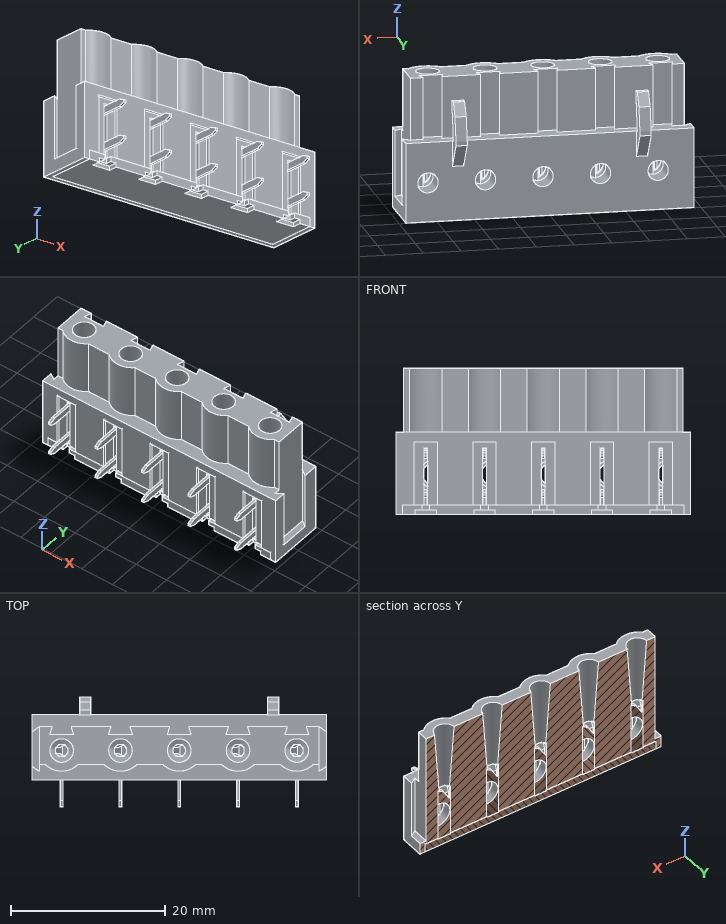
import cadquery as cq


POLES = 5
HOUSING_LENGTH = 38.2
END_TO_POLE = 3.85
PITCH = (HOUSING_LENGTH - 2 * END_TO_POLE) / (POLES - 1)
POLE_X = [(i - (POLES - 1) / 2) * PITCH for i in range(POLES)]

BASE_DEPTH = 8.5
BASE_HEIGHT = 10.7

TOTAL_HEIGHT = 19.0
TOWER_LENGTH = 36.3
TOWER_FRONT = 2.0
TOWER_BACK = 6.9
BULGE_FRONT = 1.15
BULGE_HALF_WIDTH = 2.1

GROOVE_DEPTH = 1.05
GROOVE_MOUTH_WIDTH = 2.5
GROOVE_FLOOR_WIDTH = 3.1

POCKET_FLOOR = 1.85
POCKET_MOUTH_FRONT = 1.75
POCKET_MOUTH_BACK = 6.23

HOLE_Y = 3.82
HOLE_TOP_DIAMETER = 3.05
HOLE_BOTTOM_DIAMETER = 1.6

LATCH_X = 12.2
LATCH_WIDTH = 1.5
LATCH_PROFILE = [
    (BASE_DEPTH, 7.3),
    (10.77, 10.62),
    (10.77, 11.15),
    (10.12, 14.32),
    (9.1, 16.1),
    (8.4, 16.1),
    (8.4, 14.4),
    (8.65, 14.05),
    (8.9, 10.95),
    (8.67, BASE_HEIGHT),
    (BASE_DEPTH, BASE_HEIGHT),
]

COVER_MARGIN = 0.85
COVER_LENGTH = HOUSING_LENGTH - 2 * COVER_MARGIN
COVER_DEPTH = BASE_DEPTH - COVER_MARGIN
COVER_THICKNESS = 1.25
NOTCH_DEPTH = 0.9
NOTCH_WIDTH = 1.0
WIDE_NOTCH_WIDTH = 2.75
WIDE_NOTCH_HEIGHT = 0.57
WIDE_NOTCH_DEPTH = WIDE_NOTCH_WIDTH / 2

WINDOW_WIDTH = 3.0
WINDOW_TOP = 9.4
WINDOW_DEPTH = 0.45
SLOT_WIDTH = 0.5
SLOT_TOP = 8.65

PIN_THICKNESS = 0.4
PIN_HEIGHT = 1.05
PIN_LENGTH = 3.48
PIN_TIP_LENGTH = 0.85
PIN_TIP_HEIGHT = 0.35
LOWER_PIN_Z = 2.7
UPPER_PIN_Z = 7.8
TAB_FRONT = 0.75
TAB_TOP = 8.48
CONTACT_WIDTH = 1.85
CONTACT_FRONT = 2.3
CONTACT_BACK = 5.35
CONTACT_TOP = 9.15
SOCKET_WIDTH = 1.6
SOCKET_GAP = 0.75
SOCKET_MOUTH = 1.53
SOCKET_LEAD_IN = 0.95
SOCKET_FLOOR = 7.25
SOCKET_LIP_X = 0.1
SOCKET_LIP_DEPTH = 0.4

CROSS_HOLE_OFFSET = 0.9
CROSS_HOLE_Z = (LOWER_PIN_Z + UPPER_PIN_Z) / 2
CROSS_HOLE_DIAMETER = 2.67
CROSS_BORE_DIAMETER = 3.5
CROSS_BORE_DEPTH = 1.53


def block(x_range, y_range, z_range):
    """Box between two limits on each axis."""
    (x0, x1), (y0, y1), (z0, z1) = x_range, y_range, z_range
    return cq.Workplane("XY").box(x1 - x0, y1 - y0, z1 - z0, centered=False).translate((x0, y0, z0))


def centred_block(x, width, y_range, z_range):
    """Box centred on x, with limits on the other two axes."""
    return block((x - width / 2, x + width / 2), y_range, z_range)


def rod_along_y(x, z, diameter, y0, y1):
    """Cylinder parallel to Y from y0 to y1."""
    return cq.Workplane("XZ", origin=(x, y0, z)).circle(diameter / 2).extrude(y0 - y1)



def tower():
    """Upper part with one bulge per pole on its front."""
    half = TOWER_LENGTH / 2
    outline = cq.Workplane("XY", origin=(0, 0, BASE_HEIGHT)).moveTo(-half, TOWER_BACK)
    outline = outline.lineTo(-half, TOWER_FRONT)
    for x in POLE_X:
        outline = outline.lineTo(x - BULGE_HALF_WIDTH, TOWER_FRONT)
        outline = outline.threePointArc((x, BULGE_FRONT), (x + BULGE_HALF_WIDTH, TOWER_FRONT))
    outline = outline.lineTo(half, TOWER_FRONT).lineTo(half, TOWER_BACK).close()
    return outline.extrude(TOTAL_HEIGHT - BASE_HEIGHT)


def back_groove(x):
    """Dovetail groove over the full height of the tower."""
    floor_y = TOWER_BACK - GROOVE_DEPTH
    return (
        cq.Workplane("XY", origin=(x, 0, BASE_HEIGHT))
        .polyline([
            (-GROOVE_MOUTH_WIDTH / 2, TOWER_BACK),
            (-GROOVE_FLOOR_WIDTH / 2, floor_y),
            (GROOVE_FLOOR_WIDTH / 2, floor_y),
            (GROOVE_MOUTH_WIDTH / 2, TOWER_BACK),
        ])
        .close()
        .extrude(TOTAL_HEIGHT - BASE_HEIGHT)
    )


def end_pocket():
    """Pocket in the -X end, open at the end face and at the top of the base."""
    mouth_x = -HOUSING_LENGTH / 2
    inner_x = -TOWER_LENGTH / 2
    return (
        cq.Workplane("XY", origin=(0, 0, POCKET_FLOOR))
        .polyline([
            (mouth_x, POCKET_MOUTH_FRONT),
            (inner_x, BULGE_FRONT),
            (inner_x, TOWER_BACK),
            (mouth_x, POCKET_MOUTH_BACK),
        ])
        .close()
        .extrude(BASE_HEIGHT - POCKET_FLOOR)
    )


def plug_hole(x):
    """Hole that tapers from the tower top down to the contact chamber."""
    return (
        cq.Workplane("XY", origin=(x, HOLE_Y, CONTACT_TOP))
        .circle(HOLE_BOTTOM_DIAMETER / 2)
        .workplane(offset=TOTAL_HEIGHT - CONTACT_TOP)
        .circle(HOLE_TOP_DIAMETER / 2)
        .loft()
    )


def latch(x):
    """Hook on the back wall, centred on x."""
    return (
        cq.Workplane("YZ", origin=(x - LATCH_WIDTH / 2, 0, 0))
        .polyline(LATCH_PROFILE)
        .close()
        .extrude(LATCH_WIDTH)
    )


def contact_chamber(x):
    """Room for one contact with its window, slot and the cross hole in the back wall."""
    chamber = centred_block(
        x, CONTACT_WIDTH, (CONTACT_FRONT, CONTACT_BACK), (COVER_THICKNESS, CONTACT_TOP)
    )
    window = centred_block(x, WINDOW_WIDTH, (0, WINDOW_DEPTH), (COVER_THICKNESS, WINDOW_TOP))
    slot = centred_block(x, SLOT_WIDTH, (0, CONTACT_FRONT), (COVER_THICKNESS, SLOT_TOP))
    cross_hole = rod_along_y(
        x + CROSS_HOLE_OFFSET, CROSS_HOLE_Z, CROSS_HOLE_DIAMETER, CONTACT_BACK, BASE_DEPTH
    )
    return chamber.union(window).union(slot).union(cross_hole)


def make_housing():
    body = centred_block(0, HOUSING_LENGTH, (0, BASE_DEPTH), (0, BASE_HEIGHT)).union(tower())
    for side in (-1, 1):
        body = body.union(latch(side * LATCH_X))
    pocket = end_pocket()
    body = body.cut(pocket).cut(pocket.mirror("YZ"))
    body = body.cut(centred_block(0, COVER_LENGTH, (0, COVER_DEPTH), (0, COVER_THICKNESS)))
    for x in POLE_X:
        body = body.cut(back_groove(x)).cut(plug_hole(x)).cut(contact_chamber(x))
    return body



def cover_notch(x):
    """Stepped notch in the front edge, wider and deeper on the underside."""
    notch = centred_block(x, NOTCH_WIDTH, (0, NOTCH_DEPTH), (0, COVER_THICKNESS))
    wide_notch = centred_block(x, WIDE_NOTCH_WIDTH, (0, WIDE_NOTCH_DEPTH), (0, WIDE_NOTCH_HEIGHT))
    return notch.union(wide_notch)


def make_cover():
    plate = centred_block(0, COVER_LENGTH, (0, COVER_DEPTH), (0, COVER_THICKNESS))
    for x in POLE_X:
        plate = plate.cut(cover_notch(x))
    return plate



def solder_pin(x, z):
    """Flat pin with a tapered tip, from the contact body out through the slot."""
    shoulder_y = PIN_TIP_LENGTH - PIN_LENGTH
    return (
        cq.Workplane("YZ", origin=(x - PIN_THICKNESS / 2, 0, z))
        .polyline([
            (CONTACT_FRONT, -PIN_HEIGHT / 2),
            (shoulder_y, -PIN_HEIGHT / 2),
            (-PIN_LENGTH, -PIN_TIP_HEIGHT / 2),
            (-PIN_LENGTH, PIN_TIP_HEIGHT / 2),
            (shoulder_y, PIN_HEIGHT / 2),
            (CONTACT_FRONT, PIN_HEIGHT / 2),
        ])
        .close()
        .extrude(PIN_THICKNESS)
    )


def contact_socket(x):
    """Socket in the top of a contact, with a sloped lead-in and a bent ramp for a floor."""
    half = SOCKET_WIDTH / 2
    ramp = (
        cq.Workplane("XZ", origin=(x, CONTACT_BACK, 0))
        .polyline([
            (-half, CONTACT_TOP),
            (-half, SOCKET_FLOOR),
            (SOCKET_LIP_X, CONTACT_TOP - SOCKET_LIP_DEPTH),
            (half, CONTACT_TOP),
        ])
        .close()
        .extrude(CONTACT_BACK - CONTACT_FRONT)
    )
    throat_z = CONTACT_TOP - SOCKET_LEAD_IN
    funnel = (
        cq.Workplane("YZ", origin=(x - half, HOLE_Y, 0))
        .polyline([
            (-SOCKET_MOUTH / 2, CONTACT_TOP),
            (-SOCKET_GAP / 2, throat_z),
            (-SOCKET_GAP / 2, SOCKET_FLOOR),
            (SOCKET_GAP / 2, SOCKET_FLOOR),
            (SOCKET_GAP / 2, throat_z),
            (SOCKET_MOUTH / 2, CONTACT_TOP),
        ])
        .close()
        .extrude(SOCKET_WIDTH)
    )
    return ramp.intersect(funnel)


def make_contact(x):
    body = centred_block(
        x, CONTACT_WIDTH, (CONTACT_FRONT, CONTACT_BACK), (COVER_THICKNESS, CONTACT_TOP)
    )
    body = body.cut(contact_socket(x))

    hole_x = x + CROSS_HOLE_OFFSET
    bore_end = CONTACT_FRONT + CROSS_BORE_DEPTH
    body = body.cut(rod_along_y(hole_x, CROSS_HOLE_Z, CROSS_HOLE_DIAMETER, CONTACT_FRONT, CONTACT_BACK))
    body = body.cut(rod_along_y(hole_x, CROSS_HOLE_Z, CROSS_BORE_DIAMETER, CONTACT_FRONT, bore_end))

    for pin_z, tab_z in (
        (LOWER_PIN_Z, (COVER_THICKNESS, LOWER_PIN_Z)),
        (UPPER_PIN_Z, (UPPER_PIN_Z, TAB_TOP)),
    ):
        tab = centred_block(x, PIN_THICKNESS, (TAB_FRONT, CONTACT_FRONT), tab_z)
        body = body.union(tab).union(solder_pin(x, pin_z))
    return body


housing = make_housing()
cover = make_cover()
contacts = [make_contact(x) for x in POLE_X]

result = cq.Compound.makeCompound(
    [housing.val(), cover.val(), *[contact.val() for contact in contacts]]
)